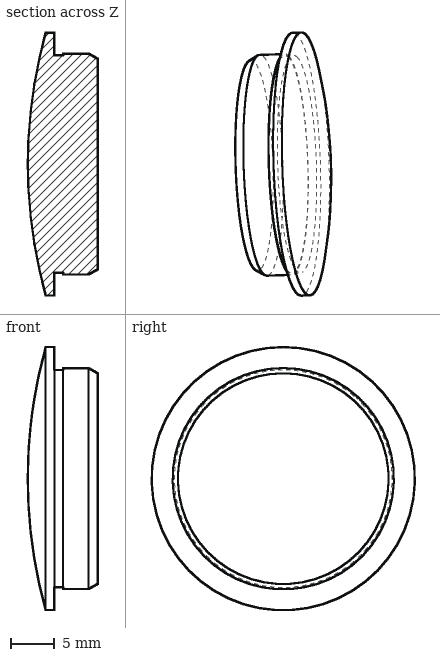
import cadquery as cq
import math

flange_diameter = 30.0
neck_diameter = 24.8
body_diameter = 25.2
tip_diameter = 24.0

dome_height = 2.05
flange_thickness = 1.0
neck_length = 1.0
body_length = 2.9
taper_length = 1.05

flange_back_x = flange_thickness
body_front_x = flange_back_x + neck_length
taper_start_x = body_front_x + body_length
tip_x = taper_start_x + taper_length

flange_radius = flange_diameter / 2
neck_radius = neck_diameter / 2
body_radius = body_diameter / 2
tip_radius = tip_diameter / 2

dome_radius = (flange_radius**2 + dome_height**2) / (2 * dome_height)
dome_center_x = dome_radius - dome_height
dome_mid_z = flange_radius / 2
dome_mid_x = dome_center_x - math.sqrt(dome_radius**2 - dome_mid_z**2)


def half_profile():
    """Outline from the axis outward: dome, flange, neck, snap-in body and tapered tip."""
    return (
        cq.Workplane("XZ")
        .moveTo(-dome_height, 0)
        .threePointArc((dome_mid_x, dome_mid_z), (0, flange_radius))
        .lineTo(flange_back_x, flange_radius)
        .lineTo(flange_back_x, neck_radius)
        .lineTo(body_front_x, neck_radius)
        .lineTo(body_front_x, body_radius)
        .lineTo(taper_start_x, body_radius)
        .lineTo(tip_x, tip_radius)
        .lineTo(tip_x, 0)
        .close()
    )


result = half_profile().revolve(360, (0, 0, 0), (1, 0, 0))